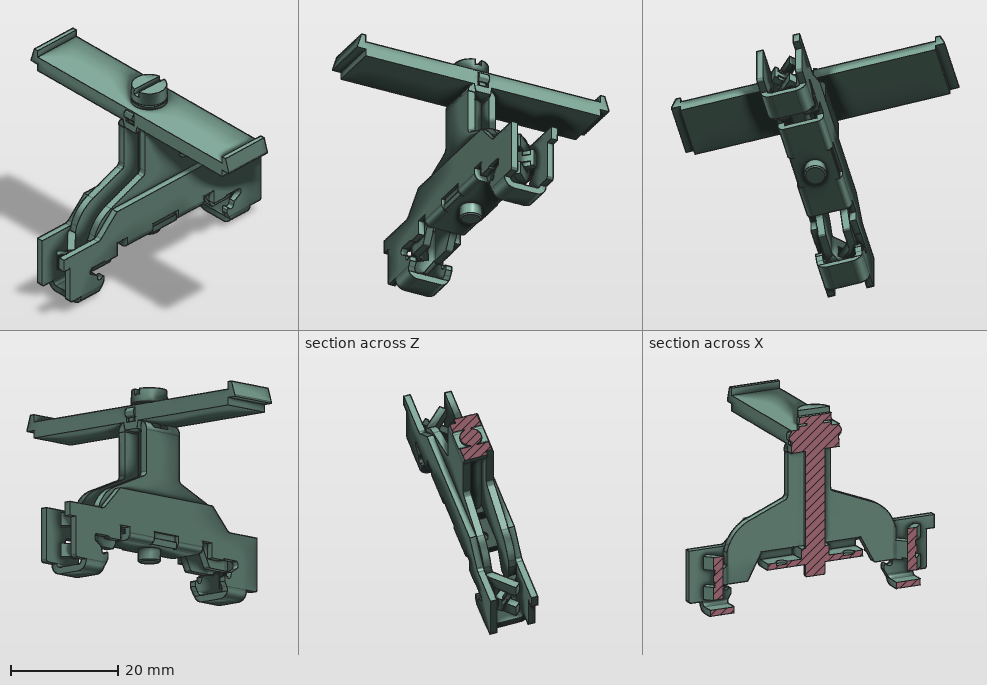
import cadquery as cq
import math

frame_half_width = 4.4
plate_inner_x = 3.15
sheet = frame_half_width - plate_inner_x
plate_end_y = 24.85
arm_end_y = 26.5
arm_bottom_z = 9.75
shoulder_z = 12.35
shoulder_y = 17.1
shoulder_fillet = 1.05
ridge_z = 16.8
ridge_y = shoulder_y - (ridge_z - shoulder_z)
claw_wall_y = 12.55
heel_fillet = 0.5

lip_corner = (16.0, 2.95)
lip_side = (16.0, 3.75)
lip_crest = (16.25, 4.05)
groove_start = (16.6, 3.9)
groove_floor = (17.2, 3.65)
groove_end = (17.7, 4.2)
slot_mouth = (17.85, 4.95)
slot_end_low = (19.2, 5.7)
slot_end_middle = (19.65, 6.4)
slot_end_high = (19.1, 7.2)
slot_step_start_y = 15.9
slot_step_end_y = 15.6
claw_bottom_z = 6.9

hook_strap_end_y = 22.0
hook_lip_y = 16.55
hook_strap_start_y = 16.95
strap_inner_radius = 0.8
hook_bottom_z = strap_inner_radius + sheet
hook_strap_top_z = 2.6
center_strap_end_y = 9.95
center_strap_bottom_z = 7.35
center_strap_top_z = center_strap_bottom_z + sheet
window_half_y = 3.3
middle_half_x = 3.9
nut_half_x = 3.85
nut_half_y = 2.95
dimple_radius = 1.05
dimple_y = 7.0
dimple_depth = 0.55

bar_half_y = 5.05
bar_bottom_z = 31.0
bar_top_z = 34.0
bar_half_x = 24.75
bar_tip_x = 26.5
bar_tip_low_z = 32.45
bar_tip_high_z = 32.75
bar_rim_x = 25.65
bar_rim_z = 35.45
tongue_width = 2.15
tongue_bulge = 0.5
tongue_low_z = 31.8
tongue_high_z = 33.65
tongue_neck_width = 1.3
tongue_neck_inset = 0.15

saddle_inner_x = 1.7
leg_thickness = plate_inner_x - saddle_inner_x
saddle_bend_z = 29.25
saddle_bend_radius = 2.0
web_bottom_z = 29.5
web_half_y = bar_half_y
web_half_top = 1.85
web_half_bottom = 1.55
bend_half_y = 5.0
long_edge_y = 4.9
short_edge_y = 4.1
neck_fillet = 1.0
slope_end_y = 13.0
slope_end_z = 17.05
neck_slope = 0.4
leg_arc_end = (17.2, 12.75)
leg_end_y = 17.4
leg_bevel_end_y = 17.7
leg_bottom_z = 5.25
leg_toe_y = 13.25
leg_toe_fillet = 0.35
leg_underside_y = 10.4
leg_underside_z = 10.6
screw_window_bottom_z = 30.0
screw_window_fillet = 0.5

prong_bend_inner_radius = 0.5
prong_bend_outer_radius = prong_bend_inner_radius + leg_thickness
prong_angle = 45
prong_length = 5.6
prong_top_z = 11.5
prong_upper_z = 8.95
prong_lower_z = 5.6
prong_bottom_z = 3.1
prong_root = 1.15
recess_length = 1.6
recess_height = 0.95
recess_depth = 0.2
recess_distance = 4.15
prong_slant_length = 2.0

screw_radius = 2.05
screw_bottom_z = 4.95
screw_tip_chamfer = 0.25
washer_radius = 3.45
washer_top_z = 34.65
neck_radius = 1.75
head_bottom_z = 35.0
head_bottom_radius = 3.45
head_top_radius = 3.3
head_top_z = 37.5
slot_width = 1.25
slot_floor_z = 36.4
slot_angle = -1.3


def block(x_range, y_range, z_range):
    """Box between the given limits."""
    size = [high - low for low, high in (x_range, y_range, z_range)]
    return cq.Workplane("XY").box(*size, centered=False).translate((x_range[0], y_range[0], z_range[0]))


def turned(shape):
    """Copy turned half a turn about the vertical axis."""
    return shape.rotate((0, 0, 0), (0, 0, 1), 180)


def with_mirror_y(shape):
    return shape.union(shape.mirror("XZ"))


def with_mirror_x(shape):
    return shape.union(shape.mirror("YZ"))


def fillet_at(shape, y, z, radius):
    """Round the edge along X that passes through (y, z)."""
    tolerance = 0.05
    x_limit = 2 * frame_half_width
    picker = cq.selectors.BoxSelector(
        (-x_limit, y - tolerance, z - tolerance), (x_limit, y + tolerance, z + tolerance)
    )
    return shape.edges(picker).fillet(radius)


def side_plate():
    """Plate on the -X side, with a rail hook at each end and an arm at the +Y end."""
    half = (
        cq.Workplane("YZ", origin=(-frame_half_width, 0, 0))
        .moveTo(0, ridge_z)
        .lineTo(ridge_y, ridge_z)
        .lineTo(shoulder_y, shoulder_z)
        .lineTo(plate_end_y, shoulder_z)
        .lineTo(plate_end_y, hook_bottom_z)
        .lineTo(hook_lip_y, hook_bottom_z)
        .lineTo(*lip_corner)
        .lineTo(*lip_side)
        .threePointArc(lip_crest, groove_start)
        .threePointArc(groove_floor, groove_end)
        .lineTo(*slot_mouth)
        .lineTo(*slot_end_low)
        .threePointArc(slot_end_middle, slot_end_high)
        .lineTo(slot_step_start_y, slot_end_high[1])
        .lineTo(slot_step_end_y, claw_bottom_z)
        .lineTo(claw_wall_y, claw_bottom_z)
        .lineTo(claw_wall_y, arm_bottom_z)
        .lineTo(0, arm_bottom_z)
        .close()
        .extrude(sheet)
    )
    half = fillet_at(half, plate_end_y, hook_bottom_z, heel_fillet)
    half = fillet_at(half, shoulder_y, shoulder_z, shoulder_fillet)
    arm = block(
        (-frame_half_width, -plate_inner_x), (shoulder_y + sheet, arm_end_y), (arm_bottom_z, shoulder_z)
    )
    return with_mirror_y(half).union(arm)


def channel(y_start, y_end, bottom_z, top_z, inner_radius):
    """Strap across both side plates, with rounded corners rising to the plates."""
    outer = block((-frame_half_width, frame_half_width), (y_start, y_end), (bottom_z, top_z))
    outer = outer.edges("|Y and <Z").fillet(inner_radius + sheet)
    inner = block((-plate_inner_x, plate_inner_x), (y_start, y_end), (bottom_z + sheet, top_z + sheet))
    if inner_radius > 0:
        inner = inner.edges("|Y and <Z").fillet(inner_radius)
    return outer.cut(inner)


def hook_strap():
    strap = channel(hook_lip_y, hook_strap_end_y, 0, hook_strap_top_z, strap_inner_radius)
    relief = (
        cq.Workplane("YZ", origin=(-frame_half_width, 0, 0))
        .moveTo(hook_lip_y, hook_bottom_z)
        .lineTo(hook_strap_start_y, sheet)
        .lineTo(hook_strap_start_y, 0)
        .lineTo(hook_lip_y, 0)
        .close()
        .extrude(2 * frame_half_width)
    )
    return strap.cut(relief)


def center_strap():
    """Strap carrying the screw, narrower and square-edged in its middle."""
    strap = channel(window_half_y, center_strap_end_y, center_strap_bottom_z, arm_bottom_z, 0)
    dimple = (
        cq.Workplane("XY", origin=(0, dimple_y, center_strap_top_z))
        .circle(dimple_radius)
        .extrude(-dimple_depth)
    )
    middle = block(
        (-middle_half_x, middle_half_x),
        (-window_half_y, window_half_y),
        (center_strap_bottom_z, center_strap_top_z),
    )
    return with_mirror_y(strap.cut(dimple)).union(middle)


def nut():
    """Block around the screw, filling the frame's window between strap and legs."""
    window_part = block(
        (-nut_half_x, nut_half_x), (-nut_half_y, nut_half_y), (center_strap_top_z, arm_bottom_z)
    )
    inner_part = block(
        (-plate_inner_x, plate_inner_x), (-nut_half_y, nut_half_y), (arm_bottom_z, leg_underside_z)
    )
    return window_part.union(inner_part)


def bevel_z(y):
    """Height of the straight bevel between the leg's arc and the top of its prongs."""
    start_y, start_z = leg_arc_end
    return start_z + (prong_top_z - start_z) * (y - start_y) / (leg_bevel_end_y - start_y)


def half_leg(edge_y):
    """Half (+Y) of the -X leg, whose upright edge stands at edge_y."""
    neck_z = slope_end_z + neck_slope * (slope_end_y - edge_y)
    half = (
        cq.Workplane("YZ", origin=(-plate_inner_x, 0, 0))
        .moveTo(0, saddle_bend_z)
        .lineTo(edge_y, saddle_bend_z)
        .lineTo(edge_y, neck_z)
        .lineTo(slope_end_y, slope_end_z)
        .tangentArcPoint(leg_arc_end, relative=False)
        .lineTo(leg_end_y, bevel_z(leg_end_y))
        .lineTo(leg_end_y, leg_bottom_z)
        .lineTo(leg_toe_y, leg_bottom_z)
        .lineTo(leg_underside_y, leg_underside_z)
        .lineTo(0, leg_underside_z)
        .close()
        .extrude(leg_thickness)
    )
    half = fillet_at(half, edge_y, neck_z, neck_fillet)
    return fillet_at(half, leg_toe_y, leg_bottom_z, leg_toe_fillet)


def leg():
    """Leg on the -X side; its upright part is shorter towards +Y."""
    return half_leg(short_edge_y).union(half_leg(long_edge_y).mirror("XZ"))


def saddle_top():
    """Bent top of the saddle, with the web that reaches both bar faces and the screw window."""
    bend_center_x = plate_inner_x - saddle_bend_radius
    bend_angle = math.asin((bar_bottom_z - saddle_bend_z) / saddle_bend_radius)
    bend_top_x = bend_center_x + saddle_bend_radius * math.cos(bend_angle)
    bend_mid_x = bend_center_x + saddle_bend_radius * math.cos(bend_angle / 2)
    bend_mid_z = saddle_bend_z + saddle_bend_radius * math.sin(bend_angle / 2)
    bend = (
        cq.Workplane("XZ", origin=(0, bend_half_y, 0))
        .moveTo(-plate_inner_x, saddle_bend_z)
        .threePointArc((-bend_mid_x, bend_mid_z), (-bend_top_x, bar_bottom_z))
        .lineTo(bend_top_x, bar_bottom_z)
        .threePointArc((bend_mid_x, bend_mid_z), (plate_inner_x, saddle_bend_z))
        .lineTo(saddle_inner_x, saddle_bend_z)
        .lineTo(web_half_bottom, web_bottom_z)
        .lineTo(-web_half_bottom, web_bottom_z)
        .lineTo(-saddle_inner_x, saddle_bend_z)
        .close()
        .extrude(2 * bend_half_y)
    )
    corner = (
        cq.Workplane("XY", origin=(0, 0, saddle_bend_z))
        .moveTo(-plate_inner_x, short_edge_y)
        .lineTo(-plate_inner_x, web_half_y)
        .lineTo(-web_half_bottom, web_half_y)
        .lineTo(-saddle_inner_x, short_edge_y)
        .close()
        .extrude(saddle_bend_radius)
    )
    web = (
        cq.Workplane("XZ", origin=(0, web_half_y, 0))
        .moveTo(-web_half_top, bar_bottom_z)
        .lineTo(web_half_top, bar_bottom_z)
        .lineTo(web_half_bottom, web_bottom_z)
        .lineTo(-web_half_bottom, web_bottom_z)
        .close()
        .extrude(2 * web_half_y)
    )
    window = block(
        (-plate_inner_x, plate_inner_x), (-screw_radius, screw_radius), (screw_window_bottom_z, bar_bottom_z)
    )
    window = window.edges("|X and <Z").fillet(screw_window_fillet)
    return bend.cut(corner).cut(turned(corner)).union(web).cut(window)


def along_prong(start, distance):
    """Point at the given distance from start in the direction of a -X leg's prong."""
    step = distance / math.sqrt(2)
    return (start[0] + step, start[1] + step)


def across_prong(start, distance):
    """Point at the given distance from start towards the outer face of a -X leg's prong."""
    step = distance / math.sqrt(2)
    return (start[0] - step, start[1] + step)


def on_bend(radius, angle):
    """Point on the prong's bend, whose angle runs from 0 at the leg to 45 degrees at the prong."""
    center_x = -saddle_inner_x + prong_bend_inner_radius
    turn = math.radians(angle)
    return (center_x - radius * math.cos(turn), leg_end_y + radius * math.sin(turn))


def prong(bottom_z, top_z, length):
    """Tongue bent inward by 45 degrees from the +Y end of the -X leg, as long as given past the bend."""
    inner_radius = prong_bend_inner_radius
    outer_radius = prong_bend_outer_radius
    inner_tip = along_prong(on_bend(inner_radius, prong_angle), length)
    outer_tip = along_prong(on_bend(outer_radius, prong_angle), length)
    return (
        cq.Workplane("XY", origin=(0, 0, bottom_z))
        .moveTo(*on_bend(inner_radius, 0))
        .threePointArc(on_bend(inner_radius, prong_angle / 2), on_bend(inner_radius, prong_angle))
        .lineTo(*inner_tip)
        .lineTo(*outer_tip)
        .lineTo(*on_bend(outer_radius, prong_angle))
        .threePointArc(on_bend(outer_radius, prong_angle / 2), on_bend(outer_radius, 0))
        .close()
        .extrude(top_z - bottom_z)
    )


def leg_end_bend():
    """Bent edge of a leg from which the prongs start; its top continues the leg's bevel."""
    bend = prong(leg_bottom_z, bevel_z(leg_end_y), prong_root)
    side_limit = (
        cq.Workplane("YZ", origin=(-plate_inner_x, 0, 0))
        .moveTo(leg_end_y, bevel_z(leg_end_y))
        .lineTo(leg_bevel_end_y, prong_top_z)
        .lineTo(leg_bevel_end_y, prong_upper_z)
        .lineTo(plate_end_y, prong_upper_z)
        .lineTo(plate_end_y, leg_bottom_z)
        .lineTo(leg_end_y, leg_bottom_z)
        .close()
        .extrude(plate_inner_x)
    )
    return bend.intersect(side_limit)


def outer_prongs():
    """Upper and lower prongs of the -X leg; the lower one has a slanted underside."""
    outer_radius = prong_bend_outer_radius
    face_start_x, face_start_y = on_bend(outer_radius, prong_angle)
    face_plane = cq.Plane(origin=(face_start_x, face_start_y, 0), xDir=(1, 1, 0), normal=(1, -1, 0))
    slant = (
        cq.Workplane(face_plane)
        .moveTo(-outer_radius, leg_bottom_z)
        .lineTo(0, leg_bottom_z)
        .lineTo(prong_slant_length, prong_bottom_z)
        .lineTo(-outer_radius, prong_bottom_z)
        .close()
        .extrude(2 * leg_thickness)
    )
    lower = prong(prong_bottom_z, prong_lower_z, prong_length).cut(slant)
    return prong(prong_upper_z, prong_top_z, prong_length).union(lower).union(leg_end_bend())


def middle_prong():
    """Prong of the +X leg, with a shallow recess at the top and bottom of its outer face."""
    face_start = on_bend(prong_bend_outer_radius, prong_angle)
    recess_start = along_prong(face_start, recess_distance - recess_length / 2)
    recess_end = along_prong(recess_start, recess_length)
    recess = (
        cq.Workplane("XY", origin=(0, 0, prong_lower_z))
        .polyline(
            [
                recess_start,
                recess_end,
                across_prong(recess_end, -recess_depth),
                across_prong(recess_start, -recess_depth),
            ]
        )
        .close()
        .extrude(recess_height)
    )
    upper_recess = recess.translate((0, 0, prong_upper_z - prong_lower_z - recess_height))
    tongue_part = prong(prong_lower_z, prong_upper_z, prong_length).cut(recess).cut(upper_recess)
    return tongue_part.union(leg_end_bend()).mirror("YZ")


def top_bar():
    """Bar along X with an upturned, sloping rim at each end."""
    half = (
        cq.Workplane("XZ", origin=(0, bar_half_y, 0))
        .moveTo(0, bar_bottom_z)
        .lineTo(bar_half_x, bar_bottom_z)
        .lineTo(bar_half_x, bar_tip_low_z)
        .lineTo(bar_tip_x, bar_tip_low_z)
        .lineTo(bar_tip_x, bar_tip_high_z)
        .lineTo(bar_rim_x, bar_rim_z)
        .lineTo(bar_half_x, bar_rim_z)
        .lineTo(bar_half_x, bar_top_z)
        .lineTo(0, bar_top_z)
        .close()
        .extrude(2 * bar_half_y)
    )
    return with_mirror_x(half)


def tongue_recess():
    """Recess in the +Y face of the bar on both sides of the tongue's neck."""
    y_range = (bar_half_y - tongue_bulge, bar_half_y)
    z_range = (bar_bottom_z, tongue_low_z)
    wide = block((-tongue_width / 2, tongue_width / 2), y_range, z_range)
    neck_y_range = (y_range[0], bar_half_y - tongue_neck_inset)
    return wide.cut(block((-tongue_neck_width / 2, tongue_neck_width / 2), neck_y_range, z_range))


def tongue():
    """Bulging tongue on the +Y face of the bar."""
    middle_z = (tongue_low_z + tongue_high_z) / 2
    return (
        cq.Workplane("YZ", origin=(-tongue_width / 2, 0, 0))
        .moveTo(bar_half_y, tongue_low_z)
        .threePointArc((bar_half_y + tongue_bulge, middle_z), (bar_half_y, tongue_high_z))
        .close()
        .extrude(tongue_width)
    )


def screw():
    """Slotted cheese-head screw with its washer, turned about the Z axis."""
    body = (
        cq.Workplane("XZ")
        .moveTo(0, screw_bottom_z)
        .lineTo(screw_radius - screw_tip_chamfer, screw_bottom_z)
        .lineTo(screw_radius, screw_bottom_z + screw_tip_chamfer)
        .lineTo(screw_radius, bar_top_z)
        .lineTo(washer_radius, bar_top_z)
        .lineTo(washer_radius, washer_top_z)
        .lineTo(neck_radius, washer_top_z)
        .lineTo(neck_radius, head_bottom_z)
        .lineTo(head_bottom_radius, head_bottom_z)
        .lineTo(head_top_radius, head_top_z)
        .lineTo(0, head_top_z)
        .close()
        .revolve(360, (0, 0, 0), (0, 1, 0))
    )
    slot = block(
        (-slot_width / 2, slot_width / 2), (-washer_radius, washer_radius), (slot_floor_z, head_top_z)
    )
    return body.cut(slot.rotate((0, 0, 0), (0, 0, 1), slot_angle))


plate = side_plate()
frame = plate.union(turned(plate)).union(with_mirror_y(hook_strap())).union(center_strap()).union(nut())

left_leg = leg()
prongs = with_mirror_y(outer_prongs().union(middle_prong()))
saddle = left_leg.union(turned(left_leg)).union(saddle_top()).union(prongs)

bar = top_bar().cut(tongue_recess()).cut(turned(tongue_recess()))
bar = bar.union(tongue()).union(turned(tongue()))

result = frame.union(saddle).union(bar).union(screw())